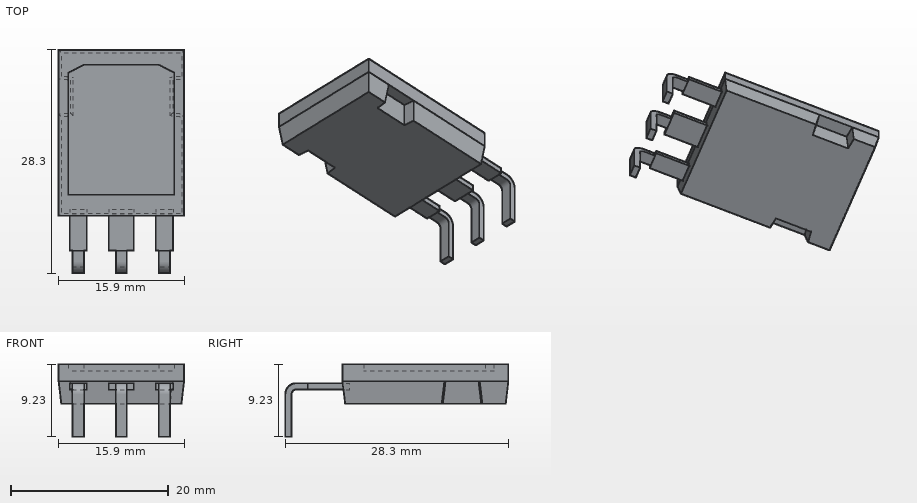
import cadquery as cq

housing_width = 15.93
housing_length = 21.05
upper_height = 2.15
lower_height = 2.9
draft_inset = 0.35
housing_top = lower_height + upper_height

pad_width = 13.47
pad_front = 2.7
pad_back = 19.15
pad_corner_x = 1.98
pad_corner_y = 1.02
pad_thickness = 0.82

notch_center_y = 15.17
notch_mouth_length = 4.5
notch_depth = 1.47
notch_wall_slant = 0.17

lead_pitch = 5.45
lead_thickness = 0.82
lead_top = lower_height - 0.25
overall_height = 9.23
lead_bottom = housing_top - overall_height
lead_reach = 7.25
bend_outer_radius = 1.42
shoulder_length = 4.4
shoulder_embed = 0.85
side_shoulder_width = 2.2
center_shoulder_width = 3.2
side_leg_width = 1.47
center_leg_width = 1.42

leads = [
    (-lead_pitch, side_shoulder_width, side_leg_width),
    (0, center_shoulder_width, center_leg_width),
    (lead_pitch, side_shoulder_width, side_leg_width),
]


def make_pad():
    half_width = pad_width / 2
    corner_x = half_width - pad_corner_x
    corner_y = pad_back - pad_corner_y
    return (
        cq.Workplane("XY", origin=(0, 0, housing_top - pad_thickness))
        .moveTo(-half_width, pad_front)
        .lineTo(half_width, pad_front)
        .lineTo(half_width, corner_y)
        .lineTo(corner_x, pad_back)
        .lineTo(-corner_x, pad_back)
        .lineTo(-half_width, corner_y)
        .close()
        .extrude(pad_thickness)
    )


def make_upper_block(pad):
    block = (
        cq.Workplane("XY", origin=(0, housing_length / 2, lower_height))
        .rect(housing_width, housing_length)
        .extrude(upper_height)
    )
    return block.cut(pad)


def notch_outline(inset):
    """Corners of the right-hand notch where the block side is inset by the given amount."""
    side = housing_width / 2 - inset
    half_mouth = notch_mouth_length / 2 + inset
    half_floor = half_mouth - notch_wall_slant
    return [
        (side, notch_center_y - half_mouth),
        (side, notch_center_y + half_mouth),
        (side - notch_depth, notch_center_y + half_floor),
        (side - notch_depth, notch_center_y - half_floor),
    ]


def make_notch():
    return (
        cq.Workplane("XY")
        .polyline(notch_outline(draft_inset)).close()
        .workplane(offset=lower_height)
        .polyline(notch_outline(0)).close()
        .loft(ruled=True)
    )


def make_lower_block(shoulders):
    block = (
        cq.Workplane("XY", origin=(0, housing_length / 2, 0))
        .rect(housing_width - 2 * draft_inset, housing_length - 2 * draft_inset)
        .workplane(offset=lower_height)
        .rect(housing_width, housing_length)
        .loft(ruled=True)
    )
    notch = make_notch()
    block = block.cut(notch).cut(notch.mirror("YZ"))
    for shoulder in shoulders:
        block = block.cut(shoulder)
    return block


def make_shoulder(center_x, width):
    """Wide flat part of a lead, seated in the lower block."""
    return cq.Workplane("XY").box(
        width, shoulder_length + shoulder_embed, lead_thickness, centered=(True, False, False)
    ).translate((center_x, -shoulder_length, lead_top - lead_thickness))


def make_leg(center_x, width):
    """Narrow part of a lead, bent down through a right angle."""
    inner_radius = bend_outer_radius - lead_thickness
    bend_y = bend_outer_radius - lead_reach
    bend_z = lead_top - bend_outer_radius
    return (
        cq.Workplane("YZ", origin=(center_x, 0, 0))
        .moveTo(-shoulder_length, lead_top)
        .lineTo(bend_y, lead_top)
        .radiusArc((-lead_reach, bend_z), -bend_outer_radius)
        .lineTo(-lead_reach, lead_bottom)
        .lineTo(-lead_reach + lead_thickness, lead_bottom)
        .lineTo(-lead_reach + lead_thickness, bend_z)
        .radiusArc((bend_y, lead_top - lead_thickness), inner_radius)
        .lineTo(-shoulder_length, lead_top - lead_thickness)
        .close()
        .extrude(width / 2, both=True)
    )


shoulders = [make_shoulder(center_x, shoulder_width) for center_x, shoulder_width, _ in leads]
legs = [make_leg(center_x, leg_width) for center_x, _, leg_width in leads]
pad = make_pad()
upper_block = make_upper_block(pad)
lower_block = make_lower_block(shoulders)

result = cq.Compound.makeCompound([
    upper_block.val(),
    lower_block.val(),
    pad.val(),
    *[shoulder.val() for shoulder in shoulders],
    *[leg.val() for leg in legs],
])